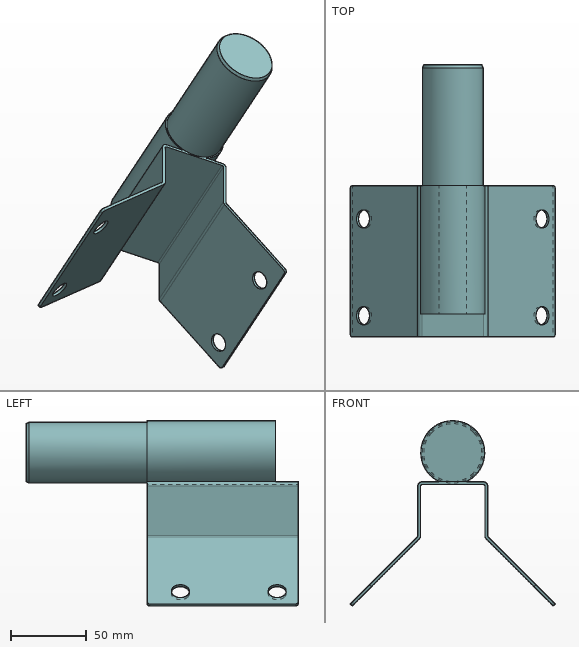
import cadquery as cq
import math

sheet = 2.0
bracket_length = 100.0
channel_width = 46.4
overall_width = 135.76
overall_height = 122.65
bend_inner_radius = 1.0
bend_outer_radius = bend_inner_radius + sheet
flange_angle = 45.0
flange_corner_radius = 2.0

barrel_diameter = 42.4
barrel_length = 85.0
barrel_axis_height = 19.2
pin_diameter = 40.4
pin_length = 80.0
pin_chamfer_length = 2.0
pin_chamfer_depth = 1.0

hole_diameter = 12.0
hole_edge_distance = 12.0
hole_front_distance = 14.0
hole_spacing = 64.0

slope_cos = math.cos(math.radians(flange_angle))
slope_sin = math.sin(math.radians(flange_angle))
half_channel = channel_width / 2
tip_x = overall_width / 2
barrel_top = barrel_axis_height + barrel_diameter / 2
bracket_bottom = barrel_top - overall_height
tip_z = bracket_bottom + sheet * slope_cos
knee_z = tip_z + (tip_x - half_channel) * math.tan(math.radians(flange_angle))
inner_knee_drop = sheet * math.tan(math.radians(flange_angle / 2))


def flange_plane(distance_from_tip, y):
    """Plane on the right flange's upper face, with X along Y and normal pointing outward."""
    return cq.Plane(
        origin=(tip_x - distance_from_tip * slope_cos, y, tip_z + distance_from_tip * slope_sin),
        xDir=(0, 1, 0),
        normal=(slope_sin, 0, slope_cos),
    )


def make_half_bracket():
    """Right half of the bracket, bent, rounded and drilled."""
    profile = [
        (0, 0),
        (half_channel, 0),
        (half_channel, knee_z),
        (tip_x, tip_z),
        (tip_x - sheet * slope_sin, tip_z - sheet * slope_cos),
        (half_channel - sheet, knee_z - inner_knee_drop),
        (half_channel - sheet, -sheet),
        (0, -sheet),
    ]
    half = cq.Workplane("XZ").polyline(profile).close().extrude(-bracket_length)

    mid_length = bracket_length / 2
    bends = [
        (half_channel, 0, bend_outer_radius),
        (half_channel - sheet, -sheet, bend_inner_radius),
        (half_channel, knee_z, bend_inner_radius),
        (half_channel - sheet, knee_z - inner_knee_drop, bend_outer_radius),
    ]
    for x, z, radius in bends:
        edge = cq.selectors.NearestToPointSelector((x, mid_length, z))
        half = half.edges("|Y").edges(edge).fillet(radius)

    for y in (0, bracket_length):
        corner = cq.selectors.NearestToPointSelector(
            (tip_x - sheet * slope_sin / 2, y, tip_z - sheet * slope_cos / 2)
        )
        half = half.edges(corner).fillet(flange_corner_radius)

    for y in (hole_front_distance, hole_front_distance + hole_spacing):
        hole = cq.Workplane(flange_plane(hole_edge_distance, y)).circle(hole_diameter / 2)
        half = half.cut(hole.extrude(sheet, both=True))
    return half


def make_bracket():
    half = make_half_bracket()
    return half.union(half.mirror("YZ"))


def make_barrel():
    """Solid barrel, flattened where it rests on the top plate."""
    barrel_front = bracket_length - barrel_length
    barrel = (
        cq.Workplane("XZ", origin=(0, barrel_front, barrel_axis_height))
        .circle(barrel_diameter / 2)
        .extrude(-barrel_length)
    )
    above_plate = cq.Workplane("XY").box(
        channel_width, 2 * bracket_length, barrel_top, centered=(True, True, False)
    )
    return barrel.intersect(above_plate)


def make_pin():
    """Pin behind the barrel, chamfered at its free end."""
    return (
        cq.Workplane("XZ", origin=(0, bracket_length, barrel_axis_height))
        .circle(pin_diameter / 2)
        .extrude(-pin_length)
        .faces(">Y")
        .chamfer(pin_chamfer_length, pin_chamfer_depth)
    )


result = make_bracket().union(make_barrel()).union(make_pin())